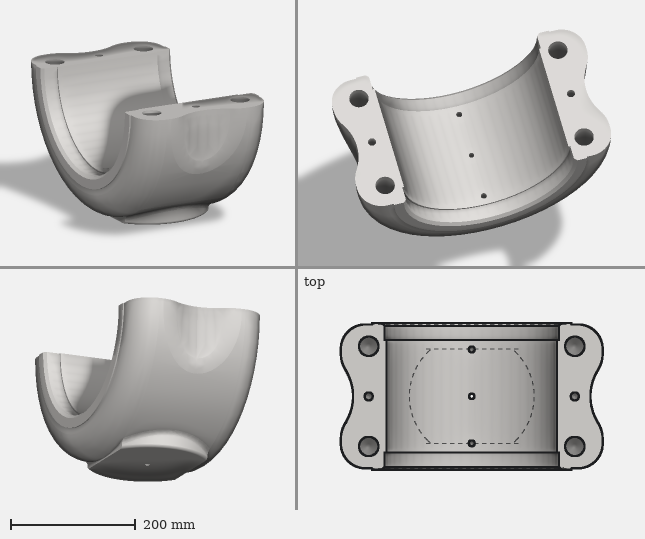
import cadquery as cq
import math

outer_radius = 210.0
body_width = 231.0
rim_rounding = 40.0
collar_radius = 160.0
collar_width = 235.0
crown_width = body_width - 2 * rim_rounding

bore_radius = 136.5
bore_width = 180.5
seat_radius = 139.5
seat_chamfer = 4.5

waist_half_length = 190.3
scallop_radius = 80.0
scallop_rounding = 50.0
scallop_draft = 2.3

pad_bottom = -212.0
pad_radius = 100.0
pad_height = 59.0
pad_edge_rounding = 5.0
pad_blend = 8.0

bolt_x = 165.0
bolt_y = 80.2
bolt_diameter = 31.0
bolt_depth = 67.0
pin_diameter = 13.0
pin_depth = 25.0
drill_point_angle = 118.0

oil_hole_diameter = 8.5
side_hole_diameter = 9.5
side_hole_y = 75.0
side_hole_depth = 17.0


def cylinder_y(radius, width):
    """Cylinder along Y, centred on the origin."""
    return cq.Workplane("XZ").circle(radius).extrude(width / 2, both=True)


def drill_tool(x, y, top, diameter, depth):
    """Downward blind hole of full-diameter depth, with a conical end."""
    radius = diameter / 2
    point = radius / math.tan(math.radians(drill_point_angle / 2))
    profile = [(0, 0), (radius, 0), (radius, -depth), (0, -depth - point)]
    tool = cq.Workplane("XZ").polyline(profile).close().revolve(360, (0, 0), (0, 1))
    return tool.translate((x, y, top))


def lower_half(solid):
    """Part of the solid below the joint plane."""
    size = 4 * outer_radius
    return solid.intersect(cq.Workplane().box(size, size, size, centered=(True, True, False))
                           .translate((0, 0, -size)))


def rounded_body():
    """Solid half drum with rounded rims, end collars and scalloped sides."""
    drum = cylinder_y(outer_radius, body_width).edges().fillet(rim_rounding)
    body = lower_half(drum.union(cylinder_y(collar_radius, collar_width)))
    centre_x = waist_half_length + scallop_radius
    for side in (-1, 1):
        scallop = (
            cq.Workplane()
            .center(side * centre_x, 0)
            .circle(scallop_radius)
            .extrude(-outer_radius, taper=-scallop_draft)
        )
        body = body.cut(scallop)
        reach = outer_radius / 2
        margin = 4.0
        edge_zone = cq.selectors.BoxSelector(
            (side * reach, -crown_width / 2, -reach - margin),
            (side * (outer_radius + margin), crown_width / 2, -margin),
        )
        body = body.edges(edge_zone).fillet(scallop_rounding)
    return body


def pad():
    """Round pad blended into the straight part of the crown, with flat cut ends."""
    disc = cq.Workplane().workplane(offset=pad_bottom).circle(pad_radius).extrude(pad_height)
    disc = disc.faces("<Z").edges().fillet(pad_edge_rounding)
    disc = disc.intersect(cq.Workplane().box(2 * outer_radius, crown_width, 4 * outer_radius))
    block = disc.union(lower_half(cylinder_y(outer_radius, crown_width)))

    joint_top = -math.sqrt(outer_radius**2 - pad_radius**2)
    joint_bottom = -math.sqrt(outer_radius**2 - pad_radius**2 + (crown_width / 2) ** 2)
    end_margin = 4.0
    joint_zone = cq.selectors.BoxSelector(
        (-pad_radius, -crown_width / 2 + end_margin, joint_bottom),
        (pad_radius, crown_width / 2 - end_margin, joint_top),
    )
    block = block.edges(joint_zone).fillet(pad_blend)

    keep_width = 2 * (pad_radius + 2 * pad_blend)
    keep = cq.Workplane().box(keep_width, crown_width, 2 * pad_height)
    return block.intersect(keep.translate((0, 0, pad_bottom)))


def bore():
    """Stepped bore with chamfered mouths."""
    mouth_radius = seat_radius + seat_chamfer
    half_width = collar_width / 2
    profile = [
        (0, -half_width),
        (mouth_radius, -half_width),
        (seat_radius, seat_chamfer - half_width),
        (seat_radius, -bore_width / 2),
        (bore_radius, -bore_width / 2),
        (bore_radius, bore_width / 2),
        (seat_radius, bore_width / 2),
        (seat_radius, half_width - seat_chamfer),
        (mouth_radius, half_width),
        (0, half_width),
    ]
    return cq.Workplane("XY").polyline(profile).close().revolve(360, (0, 0), (0, 1))


shell = rounded_body()
shell = shell.union(pad())
shell = shell.cut(bore())

for x in (-bolt_x, bolt_x):
    shell = shell.cut(drill_tool(x, 0, 0, pin_diameter, pin_depth))
    for y in (-bolt_y, bolt_y):
        shell = shell.cut(drill_tool(x, y, 0, bolt_diameter, bolt_depth))

for y in (-side_hole_y, side_hole_y):
    shell = shell.cut(drill_tool(0, y, 0, side_hole_diameter, bore_radius + side_hole_depth))

oil_hole = cq.Workplane().circle(oil_hole_diameter / 2).extrude(2 * pad_bottom)
result = shell.cut(oil_hole)